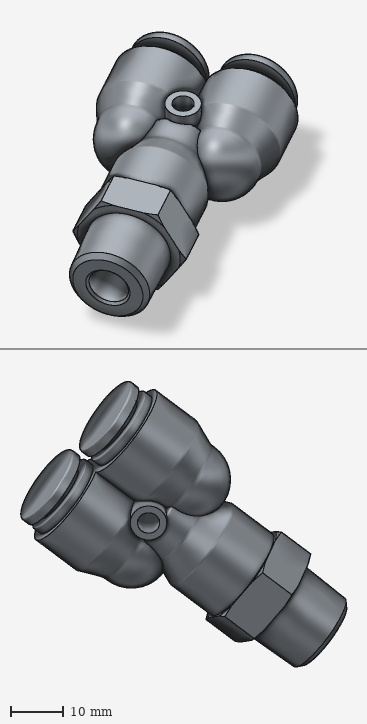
import cadquery as cq
import math


thread_length = 12.0
hex_height = 8.0
body_base_y = thread_length + hex_height
body_end_y = 56.0
overall_length = 61.0

hex_across_flats = 20.0
hex_corner_diameter = hex_across_flats / math.cos(math.radians(30))
hex_chamfer_diameter = 20.9
hex_chamfer_height = 0.4
thread_tip_diameter = 16.3
thread_taper = 1 / 16
thread_chamfer = 1.0
bore_diameter = 8.0
bore_mouth_chamfer = 0.5

barrel_diameter = 19.5
waist_diameter = 15.5
arm_offset = 9.0
arm_shoulder_y = 46.0
shoulder_length = 5.0
arm_waist_y = arm_shoulder_y - shoulder_length
dome_center_y = 40.0
stem_shoulder_y = 30.0
stem_waist_y = stem_shoulder_y + shoulder_length
stem_end_y = 41.0
blend_radius = 1.0
boss_diameter = 7.0
boss_hole_diameter = 4.2
boss_y = 43.0

ring_diameter = 16.5
ring_end_y = 57.75
ring_fillet = 0.2
sleeve_neck_diameter = 11.7
flange_thickness = 1.9
flange_width = 16.1
flange_height = 18.6
flange_fillet = 0.5


def cylinder_along_y(diameter, start_y, end_y):
    """Cylinder centred on the Y axis between two positions."""
    disc = cq.Workplane("XZ", origin=(0, start_y, 0)).circle(diameter / 2)
    return disc.extrude(start_y - end_y)


def revolve_about_y(profile):
    """Revolve a closed half profile in the XY plane around the Y axis."""
    return profile.close().revolve(360, (0, 0, 0), (0, 1, 0))


def round_circles(solid, positions, radius):
    """Round the circular edges centred on the Y axis at the given positions."""
    margin = 0.01
    for y in positions:
        low_corner = (-margin, y - margin, -margin)
        high_corner = (margin, y + margin, margin)
        solid = solid.edges(cq.selectors.BoxSelector(low_corner, high_corner)).fillet(radius)
    return solid


def make_stem():
    """Barrel above the hexagon that narrows to a waist with a rounded end."""
    profile = (
        cq.Workplane("XY")
        .moveTo(0, body_base_y)
        .lineTo(barrel_diameter / 2, body_base_y)
        .lineTo(barrel_diameter / 2, stem_shoulder_y)
        .lineTo(waist_diameter / 2, stem_waist_y)
        .lineTo(waist_diameter / 2, stem_end_y)
        .lineTo(0, stem_end_y)
    )
    rounded_positions = (stem_shoulder_y, stem_waist_y, stem_end_y)
    return round_circles(revolve_about_y(profile), rounded_positions, blend_radius)


def make_arm():
    """Barrel that narrows to a waist closed by a spherical dome."""
    radius = waist_diameter / 2
    dome_diagonal = radius * math.sqrt(0.5)
    profile = (
        cq.Workplane("XY")
        .moveTo(0, body_end_y)
        .lineTo(barrel_diameter / 2, body_end_y)
        .lineTo(barrel_diameter / 2, arm_shoulder_y)
        .lineTo(radius, arm_waist_y)
        .lineTo(radius, dome_center_y)
        .threePointArc((dome_diagonal, dome_center_y - dome_diagonal), (0, dome_center_y - radius))
    )
    return round_circles(revolve_about_y(profile), (arm_shoulder_y, arm_waist_y), blend_radius)


def make_body():
    """Stem, both arms and the drilled mounting boss as one solid."""
    body = make_stem()
    for x in (-arm_offset, arm_offset):
        body = body.union(make_arm().translate((x, 0, 0)))
    boss_plane = cq.Workplane("XY", origin=(0, boss_y, 0))
    boss = boss_plane.circle(boss_diameter / 2).extrude(barrel_diameter / 2, both=True)
    hole = boss_plane.circle(boss_hole_diameter / 2).extrude(barrel_diameter, both=True)
    return body.union(boss).cut(hole)


def make_hexagon():
    """Hexagon with two flats facing up and down and chamfered corners at both ends."""
    prism = (
        cq.Workplane("XZ", origin=(0, thread_length, 0))
        .polygon(6, hex_corner_diameter)
        .extrude(-hex_height)
    )
    corner_envelope = revolve_about_y(
        cq.Workplane("XY")
        .moveTo(0, thread_length)
        .lineTo(hex_chamfer_diameter / 2, thread_length)
        .lineTo(hex_corner_diameter / 2, thread_length + hex_chamfer_height)
        .lineTo(hex_corner_diameter / 2, body_base_y - hex_chamfer_height)
        .lineTo(hex_chamfer_diameter / 2, body_base_y)
        .lineTo(0, body_base_y)
    )
    return prism.intersect(corner_envelope)


def make_stud():
    """Hexagon and tapered thread with a through bore widened at its mouth."""
    tip_radius = thread_tip_diameter / 2
    thread = revolve_about_y(
        cq.Workplane("XY")
        .lineTo(tip_radius - thread_chamfer, 0)
        .lineTo(tip_radius + thread_chamfer * thread_taper / 2, thread_chamfer)
        .lineTo(tip_radius + thread_length * thread_taper / 2, thread_length)
        .lineTo(0, thread_length)
    )
    bore = cylinder_along_y(bore_diameter, 0, body_base_y)
    stud = make_hexagon().union(thread).cut(bore)
    bore_mouth = cq.selectors.RadiusNthSelector(0)
    return stud.faces("<Y").edges("%CIRCLE").edges(bore_mouth).chamfer(bore_mouth_chamfer)


def make_guide_ring():
    """Disc on the end of an arm with its outer rim rounded."""
    ring = cylinder_along_y(ring_diameter, body_end_y, ring_end_y)
    return ring.faces(">Y").edges().fillet(ring_fillet)


def make_release_sleeve():
    """Round neck that carries an oval push flange."""
    flange_start_y = overall_length - flange_thickness
    flange = (
        cq.Workplane("XZ", origin=(0, flange_start_y, 0))
        .ellipse(flange_width / 2, flange_height / 2)
        .extrude(-flange_thickness)
        .faces(">Y")
        .edges()
        .fillet(flange_fillet)
    )
    return cylinder_along_y(sleeve_neck_diameter, ring_end_y, flange_start_y).union(flange)


body = make_body()
stud = make_stud()
guide_rings = []
release_sleeves = []
for arm_x in (-arm_offset, arm_offset):
    guide_rings.append(make_guide_ring().translate((arm_x, 0, 0)).val())
    release_sleeves.append(make_release_sleeve().translate((arm_x, 0, 0)).val())

result = cq.Compound.makeCompound([body.val(), stud.val(), *guide_rings, *release_sleeves])